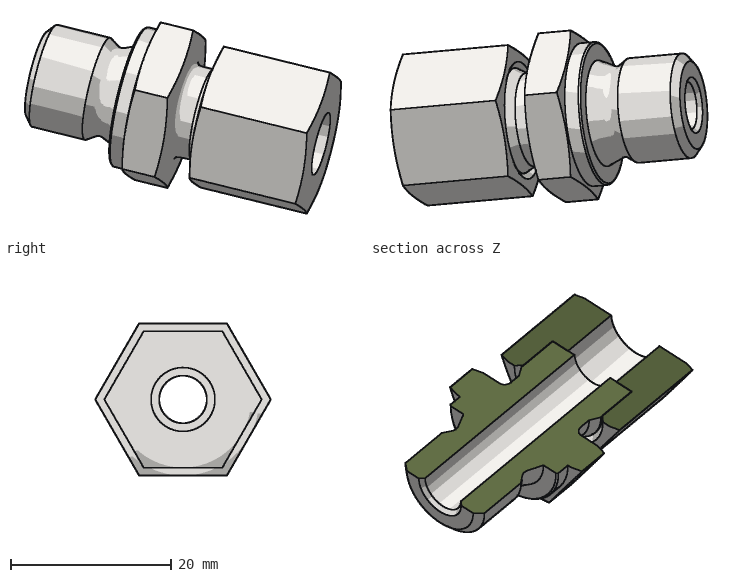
import cadquery as cq
import math


stud_radius = 6.6
stud_tip_radius = 5.5
stud_tip_length = 0.92

undercut_floor_x = 9.5
undercut_floor_radius = 5.7
undercut_blend_width = 0.55
stud_cone_angle = 33.0
collar_cone_angle = 24.0

collar_x = 12.0
collar_radius = 9.0
collar_chamfer = 0.22
hex_start_x = 14.0
hex_end_x = 19.0
fitting_hex_flats = 19.0
hex_chamfer_angle = 15.0

neck_radius = 5.85
neck_fillet = 1.0
spigot_cone_x = 21.57
spigot_cone_angle = 30.0
spigot_radius = 6.62
spigot_end_x = 28.85

bore_radius = 2.95
bore_mouth_radius = 3.5

nut_start_x = 22.45
nut_end_x = 37.0
nut_hex_flats = 17.02
nut_mouth_radius = 7.35
tube_hole_radius = 4.0


def hex_prism(start_x, end_x, flats):
    """Hexagon bar along X, flats facing up and down, corners chamfered at both ends."""
    across_corners = flats / math.cos(math.radians(30))
    length = end_x - start_x
    prism = cq.Workplane("YZ", origin=(start_x, 0, 0)).polygon(6, across_corners).extrude(length)

    flat_radius = flats / 2
    corner_radius = across_corners / 2
    chamfer_length = (corner_radius - flat_radius) * math.tan(math.radians(hex_chamfer_angle))
    envelope = (
        cq.Workplane("XY")
        .moveTo(start_x, 0)
        .lineTo(start_x, flat_radius)
        .lineTo(start_x + chamfer_length, corner_radius)
        .lineTo(end_x - chamfer_length, corner_radius)
        .lineTo(end_x, flat_radius)
        .lineTo(end_x, 0)
        .close()
        .revolve(360, (0, 0, 0), (1, 0, 0))
    )
    return prism.intersect(envelope)


def turned_fitting():
    """All the turned outside surfaces of the fitting, from stud tip to spigot end."""
    stud_slope = math.radians(stud_cone_angle)
    collar_slope = math.radians(collar_cone_angle)

    blend_start_x = undercut_floor_x - undercut_blend_width
    blend_start_radius = undercut_floor_radius + undercut_blend_width * math.tan(stud_slope / 2)
    stud_end_x = blend_start_x - (stud_radius - blend_start_radius) / math.tan(stud_slope)

    blend_end_x = undercut_floor_x + undercut_blend_width
    blend_end_radius = undercut_floor_radius + undercut_blend_width * math.tan(collar_slope / 2)
    collar_cone_radius = blend_end_radius + (collar_x - blend_end_x) * math.tan(collar_slope)

    spigot_cone_length = (spigot_radius - neck_radius) / math.tan(math.radians(spigot_cone_angle))
    fillet_mid_offset = neck_fillet * (1 - math.cos(math.radians(45)))

    return (
        cq.Workplane("XY")
        .moveTo(0, 0)
        .lineTo(0, stud_tip_radius)
        .lineTo(stud_tip_length, stud_radius)
        .lineTo(stud_end_x, stud_radius)
        .lineTo(blend_start_x, blend_start_radius)
        .tangentArcPoint((undercut_floor_x, undercut_floor_radius), relative=False)
        .tangentArcPoint((blend_end_x, blend_end_radius), relative=False)
        .lineTo(collar_x, collar_cone_radius)
        .lineTo(collar_x, collar_radius - collar_chamfer)
        .lineTo(collar_x + collar_chamfer, collar_radius)
        .lineTo(hex_end_x, collar_radius)
        .lineTo(hex_end_x, neck_radius + neck_fillet)
        .threePointArc(
            (hex_end_x + fillet_mid_offset, neck_radius + fillet_mid_offset),
            (hex_end_x + neck_fillet, neck_radius),
        )
        .lineTo(spigot_cone_x, neck_radius)
        .lineTo(spigot_cone_x + spigot_cone_length, spigot_radius)
        .lineTo(spigot_end_x, spigot_radius)
        .lineTo(spigot_end_x, 0)
        .close()
        .revolve(360, (0, 0, 0), (1, 0, 0))
    )


def countersunk_hole(start_x, end_x, radius, mouth_radius):
    """Cutter for a hole along X with a 45 degree countersink at its start."""
    mouth_depth = mouth_radius - radius
    return (
        cq.Workplane("XY")
        .moveTo(start_x, 0)
        .lineTo(start_x, mouth_radius)
        .lineTo(start_x + mouth_depth, radius)
        .lineTo(end_x, radius)
        .lineTo(end_x, 0)
        .close()
        .revolve(360, (0, 0, 0), (1, 0, 0))
    )


def make_fitting():
    """Screw-in fitting: stud, collar, hexagon, neck and spigot in one piece."""
    hexagon = hex_prism(hex_start_x, hex_end_x, fitting_hex_flats)
    bore = countersunk_hole(0, spigot_end_x, bore_radius, bore_mouth_radius)
    return turned_fitting().union(hexagon).cut(bore)


def make_nut():
    """Hexagon nut that fits over the spigot, with a countersunk mouth and a tube hole through its far end."""
    spigot_recess = countersunk_hole(nut_start_x, spigot_end_x, spigot_radius, nut_mouth_radius)
    tube_hole = (
        cq.Workplane("YZ", origin=(spigot_end_x, 0, 0))
        .circle(tube_hole_radius)
        .extrude(nut_end_x - spigot_end_x)
    )
    return hex_prism(nut_start_x, nut_end_x, nut_hex_flats).cut(spigot_recess).cut(tube_hole)


fitting = make_fitting()
nut = make_nut()

result = cq.Compound.makeCompound([fitting.val(), nut.val()])